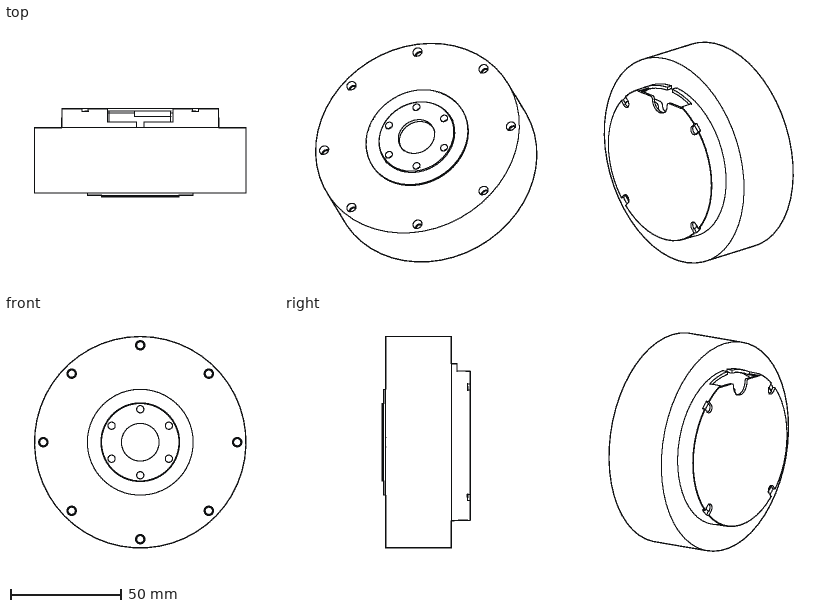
import cadquery as cq
import math


housing_radius = 48.0
housing_length = 29.8
collar_radius = 24.0
collar_height = 1.0

flange_radius = 17.6
flange_gap = 0.3
flange_rise = 0.7
flange_seat_depth = 5.8
flange_recess_radius = 8.5
flange_recess_depth = 1.9
flange_front = -(collar_height + flange_rise)

housing_hole_count = 8
housing_hole_circle = 44.0
housing_hole_depth = 9.6
housing_bore_radius = 2.1
housing_bore_depth = 3.8
flange_hole_count = 6
flange_hole_circle = 15.0
flange_hole_depth = 4.8
flange_hole_angle = 30.0
hole_radius = 1.6
drill_tip_angle = 118.0

cover_base_radius = 35.7
cover_back_radius = 35.5
cover_height = 8.6
cover_edge_chamfer = 0.2
cavity_radius = 34.3
cavity_chamfer = 1.0
plate_thickness = 1.2
cover_back = housing_length + cover_height
plate_inner = cover_back - plate_thickness

window_width = 29.8
window_height = 6.0
window_floor = 31.5
opening_left = -14.2
opening_right = 13.7
opening_floor = 26.9
slit_width = 3.4

mouth_radius = 5.1
mouth_lip_radius = 1.2

rib_height = 2.5
rib_bottom = 21.1
rib_left = -2.7
rib_right = 15.4
rib_low_level = 25.0
rib_high_level = 28.8
rib_left_radius = 2.5
rib_rise_radius = 1.9
rib_rise_start = 0.3
rib_fall_start = 7.1
rib_fall_width = 3.7
rib_fall_drop = 3.1

pry_slot_count = 4
pry_slot_width = 4.0
pry_slot_depth = 1.3
pry_slot_center_radius = 32.9
pry_slot_angle = 45.0


def revolved(profile):
    """Revolve a closed outline of (axial position, radius) points about the Y axis."""
    return cq.Workplane("YZ").polyline(profile).close().revolve(360, (0, 0), (1, 0))


def disc(radius, start, end):
    """Cylinder on the Y axis from start to end."""
    return revolved([(start, 0), (start, radius), (end, radius), (end, 0)])


def block(x_start, x_end, y_start, y_end, z_start, z_end):
    """Axis-aligned box given by its limits."""
    size = (x_end - x_start, y_end - y_start, z_end - z_start)
    return cq.Workplane("XY").box(*size, centered=False).translate((x_start, y_start, z_start))


def cross_plane(y):
    """Work plane across the axis at y: local x is X, local y is Z, normal is -Y."""
    return cq.Workplane("XZ", origin=(0, y, 0))


def circular_pattern(tool, count, circle_radius, first_angle):
    """Copies of a tool around the Y axis, moved out along X and turned into place."""
    moved = tool.translate((circle_radius, 0, 0))
    copies = cq.Workplane("XY")
    for index in range(count):
        angle = first_angle + index * 360 / count
        copies = copies.add(moved.rotate((0, 0, 0), (0, 1, 0), angle))
    return copies.combine()


def drilled_hole(start, depth):
    """Blind hole along +Y with a conical tip beyond its full depth."""
    tip_length = hole_radius / math.tan(math.radians(drill_tip_angle / 2))
    end = start + depth
    return revolved([(start, 0), (start, hole_radius), (end, hole_radius), (end + tip_length, 0)])


def make_housing_hole():
    bore = disc(housing_bore_radius, 0, housing_bore_depth)
    return bore.union(drilled_hole(0, housing_hole_depth))


def make_cover_shell():
    edge_start = cover_back - cover_edge_chamfer
    shell = revolved([
        (housing_length, 0),
        (housing_length, cover_base_radius),
        (edge_start, cover_back_radius),
        (cover_back, cover_back_radius - cover_edge_chamfer),
        (cover_back, 0),
    ])
    cavity = revolved([
        (housing_length, 0),
        (housing_length, cavity_radius),
        (plate_inner - cavity_chamfer, cavity_radius),
        (plate_inner, cavity_radius - cavity_chamfer),
        (plate_inner, 0),
    ])
    return shell.cut(cavity)


def make_cable_window():
    """Flat cut on the cover wall, opened into the cavity, with a narrow slit down to the housing."""
    half_width = window_width / 2
    half_slit = slit_width / 2
    window_start = cover_back - window_height
    flat = block(-half_width, half_width, window_start, cover_back, window_floor, housing_radius)
    opening = block(opening_left, opening_right, window_start, plate_inner, opening_floor, window_floor)
    slit = block(-half_slit, half_slit, housing_length, window_start, opening_floor, housing_radius)
    return flat.union(opening).union(slit)


def make_cable_mouth():
    """Half-round plate cut-out with lips that flare out to the window flat."""
    lip_half_width = mouth_radius + mouth_lip_radius
    lip_start = window_floor - mouth_lip_radius
    return (
        cross_plane(cover_back)
        .moveTo(-lip_half_width, window_floor)
        .radiusArc((-mouth_radius, lip_start), mouth_lip_radius)
        .threePointArc((0, lip_start - mouth_radius), (mouth_radius, lip_start))
        .radiusArc((lip_half_width, window_floor), mouth_lip_radius)
        .close()
        .extrude(plate_thickness)
    )


def make_inner_rib():
    """Stepped rib whose rounded steps rise to a high level and fall again to the cavity wall."""
    rise_middle = rib_rise_start + rib_rise_radius
    rise_end = rise_middle + rib_rise_radius
    fall_radius = (rib_fall_width**2 + rib_fall_drop**2) / (4 * rib_fall_drop)
    fall_middle = rib_fall_start + rib_fall_width / 2
    fall_end = rib_fall_start + rib_fall_width
    end_level = rib_high_level - rib_fall_drop
    return (
        cross_plane(plate_inner)
        .moveTo(rib_left, rib_bottom)
        .lineTo(rib_left, rib_low_level - rib_left_radius)
        .radiusArc((rib_left + rib_left_radius, rib_low_level), rib_left_radius)
        .lineTo(rib_rise_start, rib_low_level)
        .radiusArc((rise_middle, rib_low_level + rib_rise_radius), -rib_rise_radius)
        .radiusArc((rise_end, rib_high_level), rib_rise_radius)
        .lineTo(rib_fall_start, rib_high_level)
        .radiusArc((fall_middle, rib_high_level - rib_fall_drop / 2), fall_radius)
        .radiusArc((fall_end, end_level), -fall_radius)
        .lineTo(rib_right, end_level)
        .lineTo(rib_right, rib_bottom)
        .close()
        .extrude(rib_height)
    )


def make_pry_slots():
    end_radius = pry_slot_width / 2
    slot_start = cover_back - pry_slot_depth
    slot = disc(end_radius, slot_start, cover_back).union(
        block(0, housing_radius - pry_slot_center_radius, slot_start, cover_back, -end_radius, end_radius)
    )
    return circular_pattern(slot, pry_slot_count, pry_slot_center_radius, pry_slot_angle)


def make_housing():
    drum = disc(housing_radius, 0, housing_length)
    collar = disc(collar_radius, -collar_height, 0)
    flange_seat = disc(flange_radius + flange_gap, -collar_height, flange_seat_depth)
    housing_holes = circular_pattern(make_housing_hole(), housing_hole_count, housing_hole_circle, 0)
    cover = (
        make_cover_shell()
        .cut(make_cable_window())
        .cut(make_cable_mouth())
        .union(make_inner_rib())
        .cut(make_pry_slots())
    )
    return drum.union(collar).cut(flange_seat).cut(housing_holes).union(cover)


def make_output_flange():
    body = disc(flange_radius, flange_front, flange_seat_depth)
    recess = disc(flange_recess_radius, flange_front, flange_front + flange_recess_depth)
    holes = circular_pattern(
        drilled_hole(flange_front, flange_hole_depth), flange_hole_count, flange_hole_circle, flange_hole_angle
    )
    return body.cut(recess).cut(holes)


housing = make_housing()
output_flange = make_output_flange()

result = cq.Compound.makeCompound([housing.val(), output_flange.val()])